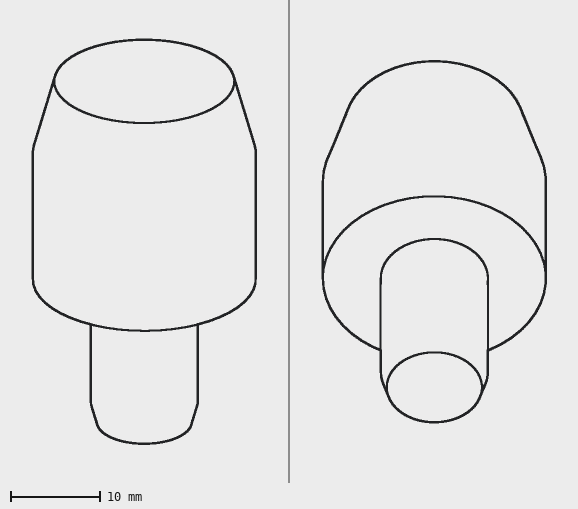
import cadquery as cq
import math

total_height = 43.0
head_diameter = 25.0
pin_diameter = 12.0
pin_length = 18.0
head_taper_height = 9.0
pin_tip_height = 2.5
taper_angle = math.radians(15)

head_radius = head_diameter / 2
pin_radius = pin_diameter / 2
head_top_radius = head_radius - head_taper_height * math.tan(taper_angle)
pin_tip_radius = pin_radius - pin_tip_height * math.tan(taper_angle)
head_taper_start = total_height - head_taper_height

half_profile = (
    cq.Workplane("XZ")
    .lineTo(pin_tip_radius, 0)
    .lineTo(pin_radius, pin_tip_height)
    .lineTo(pin_radius, pin_length)
    .lineTo(head_radius, pin_length)
    .lineTo(head_radius, head_taper_start)
    .lineTo(head_top_radius, total_height)
    .lineTo(0, total_height)
    .close()
)

result = half_profile.revolve(360, (0, 0, 0), (0, 1, 0))